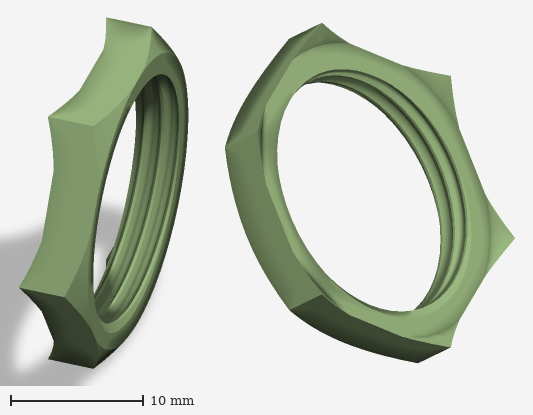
import cadquery as cq
import math

corner_diameter = 26.55
corner_radius = corner_diameter / 2
flat_radius = corner_radius * math.cos(math.pi / 6)
overall_length = 4.91

seat_x = 1.17
seat_radius = 11.82
back_bevel_depth = 1.25

bore_radius = 9.6
thread_root_radius = 10.23
thread_pitch = 1.4
root_width = 0.45
flank_angle = 30.0
groove_start_angle = -65.0
runout_turns = 1
bore_seam_angle = 100.0
bore_overlap = 0.13


def hexagon_blank():
    """Hexagonal prism between X = 0 and the far face."""
    return cq.Workplane("YZ").polygon(6, corner_diameter).extrude(overall_length)


def bevelled_envelope():
    """Turned body: conical hollow on the -X side, conical bevel on the +X side."""
    profile = [
        (seat_x, 0),
        (seat_x, seat_radius),
        (0, corner_radius),
        (overall_length - back_bevel_depth, corner_radius),
        (overall_length, flat_radius),
        (overall_length, 0),
    ]
    return cq.Workplane("XY").polyline(profile).close().revolve(360, (0, 0), (1, 0))


def thread_groove():
    """Helical trapezoidal cutter that runs out past both ends of the bore."""
    runout = runout_turns * thread_pitch
    length = overall_length - seat_x + 2 * runout
    inner_radius = bore_radius - bore_overlap
    root_half = root_width / 2
    mouth_half = root_half + (thread_root_radius - inner_radius) * math.tan(math.radians(flank_angle))
    profile = [
        (inner_radius, -mouth_half),
        (thread_root_radius, -root_half),
        (thread_root_radius, root_half),
        (inner_radius, mouth_half),
    ]
    helix = cq.Wire.makeHelix(thread_pitch, length, bore_radius)
    groove = cq.Workplane("XZ").polyline(profile).close().sweep(cq.Workplane(helix), isFrenet=True)
    groove = groove.rotate((0, 0, 0), (1, 1, 1), 120)
    groove = groove.rotate((0, 0, 0), (1, 0, 0), groove_start_angle)
    return groove.translate((seat_x - runout, 0, 0))


def bore():
    """Plain cylindrical bore at the thread crest."""
    cylinder = cq.Workplane("YZ").circle(bore_radius).extrude(overall_length)
    return cylinder.rotate((0, 0, 0), (1, 0, 0), bore_seam_angle)


body = hexagon_blank().intersect(bevelled_envelope())
result = body.cut(bore()).cut(thread_groove())